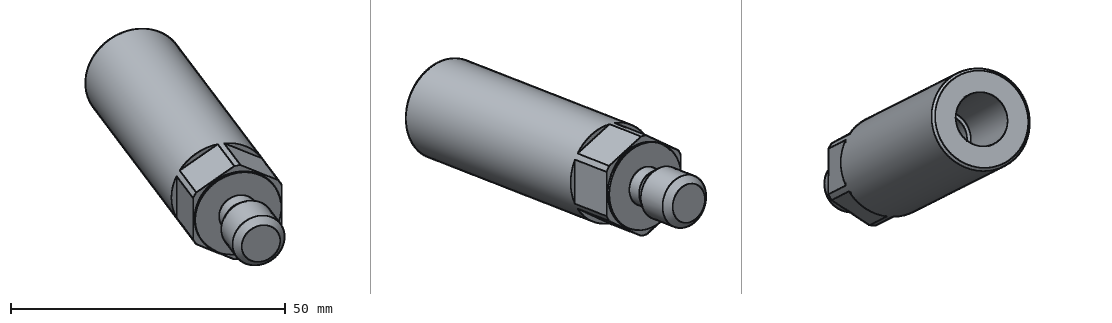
import cadquery as cq
import math

total_length = 73.0
body_diameter = 19.0
body_radius = body_diameter / 2
body_chamfer = 0.5

hex_start = 50.0
collar_end = 60.0
collar_length = 0.5
hex_end = collar_end - collar_length
hex_across_flats = 17.0
collar_diameter = 16.5

stud_diameter = 10.0
neck_diameter = 7.4
neck_end = 62.9
stud_cone_end = 65.2
stud_chamfer = (stud_diameter - neck_diameter) / 2

bore_diameter = stud_diameter
bore_depth = 20.0
drill_diameter = 8.55
drill_depth = 25.0
drill_tip_angle = 118.0


def revolve_about_x(profile):
    """Turn a closed (x, radius) profile around the X axis."""
    return cq.Workplane("XY").polyline(profile).close().revolve(360, (0, 0, 0), (1, 0, 0))


def make_turned_blank():
    collar_radius = collar_diameter / 2
    neck_radius = neck_diameter / 2
    stud_radius = stud_diameter / 2
    return revolve_about_x([
        (0, 0),
        (0, body_radius - body_chamfer),
        (body_chamfer, body_radius),
        (hex_end, body_radius),
        (hex_end, collar_radius),
        (collar_end, collar_radius),
        (collar_end, neck_radius),
        (neck_end, neck_radius),
        (stud_cone_end, stud_radius),
        (total_length - stud_chamfer, stud_radius),
        (total_length, stud_radius - stud_chamfer),
        (total_length, 0),
    ])


def make_hex_cutter():
    """Ring around a hexagon with corners up and down and flats facing +Y and -Y."""
    across_corners = hex_across_flats / math.cos(math.radians(30))
    hex_length = hex_end - hex_start
    ring = cq.Workplane("YZ", origin=(hex_start, 0, 0)).circle(body_diameter).extrude(hex_length)
    hexagon = (
        cq.Workplane("YZ", origin=(hex_start, 0, 0))
        .transformed(rotate=(0, 0, 90))
        .polygon(6, across_corners)
        .extrude(hex_length)
    )
    return ring.cut(hexagon)


def make_bore():
    bore_radius = bore_diameter / 2
    drill_radius = drill_diameter / 2
    tip_length = drill_radius / math.tan(math.radians(drill_tip_angle / 2))
    return revolve_about_x([
        (0, 0),
        (0, bore_radius),
        (bore_depth, bore_radius),
        (bore_depth, drill_radius),
        (drill_depth, drill_radius),
        (drill_depth + tip_length, 0),
    ])


result = make_turned_blank().cut(make_hex_cutter()).cut(make_bore())